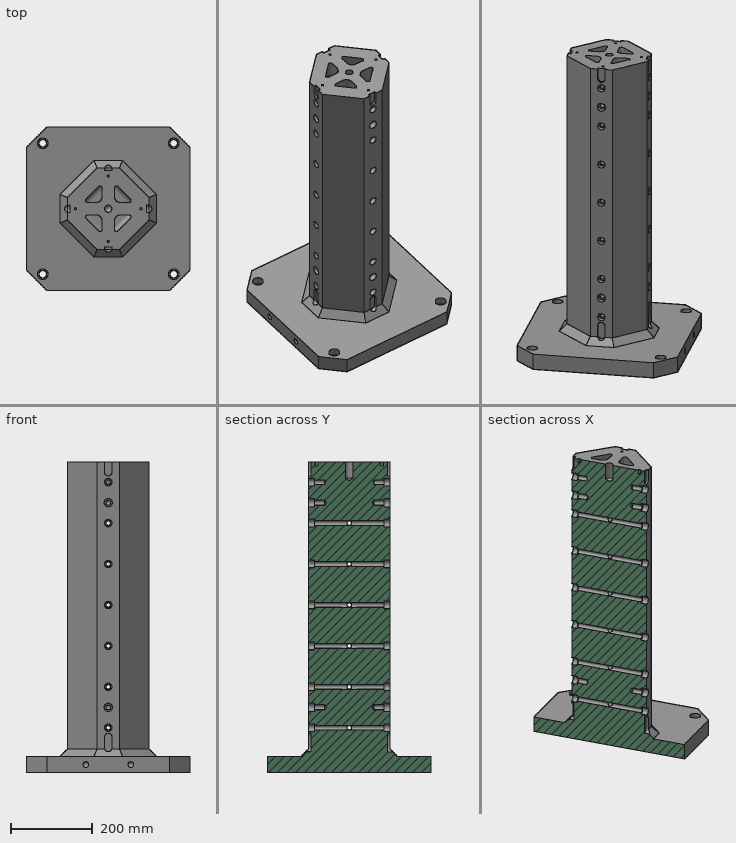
import cadquery as cq
import math

base_side = 400.0
base_thickness = 40.0
base_corner_chamfer = 50.0
total_height = 760.0

column_width = 200.0
column_diagonal_width = 180.0
foot_offset = 18.0
column_height = total_height - base_thickness

mount_offset = 160.0
mount_diameter = 18.0
mount_counterbore_diameter = 26.0
mount_counterbore_depth = 20.0

edge_hole_offset = 55.0
edge_hole_height = base_thickness / 2
edge_hole_diameter = 14.0
edge_hole_depth = 30.0

hole_pitch = 100.0
lowest_hole = 110.0
through_hole_count = 6
through_hole_diameter = 10.8
face_bore_diameter = 18.0
face_bore_depth = 15.0
highest_hole = lowest_hole + through_hole_count * hole_pitch
top_hole_depth = 40.0

bushing_heights = [lowest_hole + hole_pitch / 2, highest_hole - hole_pitch / 2]
bushing_bore_diameter = 20.0
bushing_bore_depth = 15.0
bushing_hole_diameter = 12.0
bushing_hole_depth = 40.0

keyway_width = 18.0
keyway_depth = 6.0
upper_keyway_length = 34.5
lower_keyway_length = 45.0
lower_keyway_bottom = 51.5

center_hole_diameter = 17.5
center_hole_depth = 40.0
pin_hole_diameter = 5.0
pin_hole_offset = 80.0
pin_hole_depth = 10.0
pocket_web = 30.0
pocket_hypotenuse_distance = 55.0
pocket_depth = 50.0
pocket_inner_radius = 15.0
pocket_tip_radius = 5.0
pocket_floor_radius = 12.0

drill_point_angle = 118.0

face_angles = [0, 90, 180, 270]
pocket_diagonal_angle = 45.0


def octagon(offset):
    """Square across the principal faces, cut by diagonal faces, grown by an offset."""
    half = column_width / 2 + offset
    half_diagonal = column_diagonal_width / 2 + offset
    half_flat = half_diagonal * math.sqrt(2) - half
    return [
        (half, -half_flat), (half, half_flat), (half_flat, half), (-half_flat, half),
        (-half, half_flat), (-half, -half_flat), (-half_flat, -half), (half_flat, -half),
    ]


def make_base():
    """Square plate with cut corners."""
    plate = cq.Workplane("XY").box(base_side, base_side, base_thickness, centered=(True, True, False))
    return plate.edges("|Z").chamfer(base_corner_chamfer)


def make_column():
    column = cq.Workplane("XY").workplane(offset=base_thickness).polyline(octagon(0)).close()
    return column.extrude(column_height)


def make_foot():
    foot = cq.Workplane("XY").workplane(offset=base_thickness).polyline(octagon(foot_offset)).close()
    return foot.workplane(offset=foot_offset).polyline(octagon(0)).close().loft(ruled=True)


def cylinder(start, direction, diameter, depth):
    return cq.Workplane(
        cq.Solid.makeCylinder(diameter / 2, depth, cq.Vector(*start), cq.Vector(*direction))
    )


def drilled_hole(start, direction, diameter, depth):
    """Blind hole ending in a conical drill point."""
    radius = diameter / 2
    tip_length = radius / math.tan(math.radians(drill_point_angle / 2))
    axis = cq.Vector(*direction)
    tip_start = cq.Vector(*start) + axis * depth
    tip = cq.Workplane(cq.Solid.makeCone(radius, 0, tip_length, tip_start, axis))
    return cylinder(start, direction, diameter, depth).union(tip)


def mount_holes():
    """Counterbored through holes near the base corners."""
    holes = cq.Workplane("XY").rect(2 * mount_offset, 2 * mount_offset, forConstruction=True).vertices()
    through = holes.circle(mount_diameter / 2).extrude(base_thickness)
    bores = holes.circle(mount_counterbore_diameter / 2).extrude(mount_counterbore_depth)
    return through.union(bores.translate((0, 0, base_thickness - mount_counterbore_depth)))


def base_edge_holes():
    holes = cq.Workplane("XY")
    for x in (-edge_hole_offset, edge_hole_offset):
        start = (x, -base_side / 2, edge_hole_height)
        holes = holes.add(drilled_hole(start, (0, 1, 0), edge_hole_diameter, edge_hole_depth))
    return holes.combine()


def keyway(bottom, length):
    """Upright round-ended slot in the front column face, also cutting any foot in front of it."""
    slot = cq.Workplane("XZ").workplane(offset=column_width / 2 - keyway_depth)
    slot = slot.center(0, bottom + length / 2).slot2D(length, keyway_width, 90)
    return slot.extrude(keyway_depth + foot_offset)


def face_features():
    """All cuts in the front column face."""
    face = -column_width / 2
    inward = (0, 1, 0)
    cuts = keyway(total_height - upper_keyway_length, 2 * upper_keyway_length)
    cuts = cuts.union(keyway(lower_keyway_bottom, lower_keyway_length))
    for index in range(through_hole_count):
        start = (0, face, lowest_hole + index * hole_pitch)
        cuts = cuts.union(cylinder(start, inward, face_bore_diameter, face_bore_depth))
        cuts = cuts.union(cylinder(start, inward, through_hole_diameter, column_width))
    start = (0, face, highest_hole)
    cuts = cuts.union(cylinder(start, inward, face_bore_diameter, face_bore_depth))
    cuts = cuts.union(cylinder(start, inward, through_hole_diameter, top_hole_depth))
    for height in bushing_heights:
        start = (0, face, height)
        cuts = cuts.union(cylinder(start, inward, bushing_bore_diameter, bushing_bore_depth))
        cuts = cuts.union(drilled_hole(start, inward, bushing_hole_diameter, bushing_hole_depth))
    return cuts


def top_pocket():
    """Triangular pocket between two webs, with a rounded floor edge along its hypotenuse."""
    inner = pocket_web / 2
    outer = pocket_hypotenuse_distance * math.sqrt(2) - inner
    pocket = cq.Workplane("XY").workplane(offset=total_height - pocket_depth)
    pocket = pocket.polyline([(inner, inner), (outer, inner), (inner, outer)]).close().extrude(pocket_depth)
    pocket = pocket.edges("|Z").edges("<(1, 1, 0)").fillet(pocket_inner_radius)
    pocket = pocket.edges("|Z").edges(">X or >Y").fillet(pocket_tip_radius)
    rounded_block = cq.Workplane("XY").box(2 * pocket_hypotenuse_distance, column_width, 2 * pocket_depth)
    rounded_block = rounded_block.edges(">X and <Z").fillet(pocket_floor_radius)
    rounded_block = rounded_block.rotate((0, 0, 0), (0, 0, 1), pocket_diagonal_angle)
    rounded_block = rounded_block.translate((0, 0, total_height))
    return pocket.intersect(rounded_block)


def top_features():
    """Center hole, plus a pocket and a pin hole for each quarter of the top face."""
    top_center = (0, 0, total_height)
    down = (0, 0, -1)
    cuts = drilled_hole(top_center, down, center_hole_diameter, center_hole_depth)
    pin_hole = cylinder((pin_hole_offset, 0, total_height), down, pin_hole_diameter, pin_hole_depth)
    quarter = top_pocket().union(pin_hole)
    for angle in face_angles:
        cuts = cuts.union(quarter.rotate((0, 0, 0), (0, 0, 1), angle))
    return cuts


result = make_base().union(make_foot()).union(make_column())
result = result.cut(mount_holes()).cut(base_edge_holes()).cut(top_features())
front_face_cuts = face_features()
for angle in face_angles:
    result = result.cut(front_face_cuts.rotate((0, 0, 0), (0, 0, 1), angle))